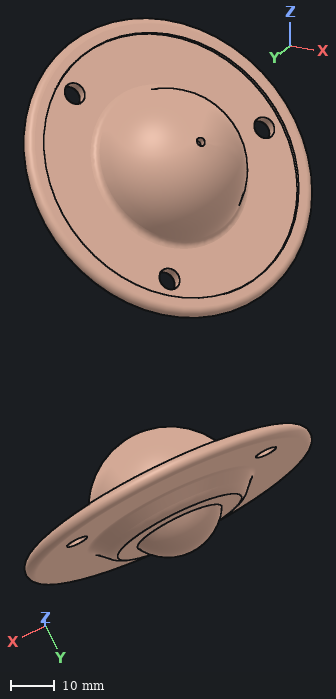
import cadquery as cq
import math


flange_radius = 36.5
flange_thickness = 3.65
edge_radius = flange_thickness / 2
recess_radius = 32.4
recess_depth = 0.9

root_fillet = 1.7
root_margin = 0.1

dome_radius = 18.75
dome_height = 15.85
dome_center = dome_radius - dome_height
vent_diameter = 2.05
vent_depth = 2.2

hub_depth = 7.9
hub_flat_radius = 15.85
shoulder_radius = 18.2
shoulder_depth = 6.3
shoulder_bulge = 0.255
hub_base_radius = 20.9

overall_depth = 30.0
ball_radius = 12.4
ball_tip = overall_depth - dome_height
ball_center = ball_tip - ball_radius

hole_count = 3
hole_diameter = 5.1
hole_circle_radius = 27.8
first_hole_angle = -90.0


def arc_middle(start, end, sag):
    """Point beside the chord's middle, to the left of the direction of travel."""
    dx = end[0] - start[0]
    dy = end[1] - start[1]
    chord = math.hypot(dx, dy)
    return (
        (start[0] + end[0]) / 2 - sag * dy / chord,
        (start[1] + end[1]) / 2 + sag * dx / chord,
    )


def make_shell():
    """Dome, flange and hub as one revolved profile."""
    dome_foot_radius = math.sqrt(dome_radius**2 - (dome_center - recess_depth) ** 2)
    dome_foot = (dome_foot_radius, recess_depth)
    half_angle = math.asin(dome_foot_radius / dome_radius) / 2
    dome_middle = (
        dome_radius * math.sin(half_angle),
        dome_center - dome_radius * math.cos(half_angle),
    )
    shoulder = (shoulder_radius, shoulder_depth)
    hub_edge = (hub_flat_radius, hub_depth)
    straight_radius = flange_radius - edge_radius
    profile = (
        cq.Workplane("XY")
        .moveTo(0, -dome_height)
        .threePointArc(dome_middle, dome_foot)
        .lineTo(recess_radius, recess_depth)
        .lineTo(recess_radius, 0)
        .lineTo(straight_radius, 0)
        .threePointArc((flange_radius, edge_radius), (straight_radius, flange_thickness))
        .lineTo(hub_base_radius, flange_thickness)
        .lineTo(*shoulder)
        .threePointArc(arc_middle(shoulder, hub_edge, -shoulder_bulge), hub_edge)
        .lineTo(0, hub_depth)
        .close()
    )
    shell = profile.revolve(360, (0, 0, 0), (0, 1, 0))
    for root_radius, root_y in (dome_foot, (hub_base_radius, flange_thickness)):
        root_edge = cq.selectors.BoxSelector(
            (-root_radius - root_margin, root_y - root_margin, -root_radius - root_margin),
            (root_radius + root_margin, root_y + root_margin, root_radius + root_margin),
            boundingbox=True,
        )
        shell = shell.edges("%CIRCLE").edges(root_edge).fillet(root_fillet)
    return shell


def make_ball():
    """Rear ball, fully buried in the dome and hub except where it leaves the hub."""
    return cq.Workplane("XY").sphere(ball_radius).translate((0, ball_center, 0))


def make_cylinder(x, z, diameter, start_y, length):
    """Cylinder along Y, used as a drill."""
    return cq.Workplane(
        cq.Solid.makeCylinder(diameter / 2, length, cq.Vector(x, start_y, z), cq.Vector(0, 1, 0))
    )


result = make_shell().union(make_ball())

for index in range(hole_count):
    angle = math.radians(first_hole_angle + index * 360 / hole_count)
    hole_x = hole_circle_radius * math.cos(angle)
    hole_z = hole_circle_radius * math.sin(angle)
    result = result.cut(make_cylinder(hole_x, hole_z, hole_diameter, 0, flange_thickness))

result = result.cut(make_cylinder(0, 0, vent_diameter, -dome_height, vent_depth))